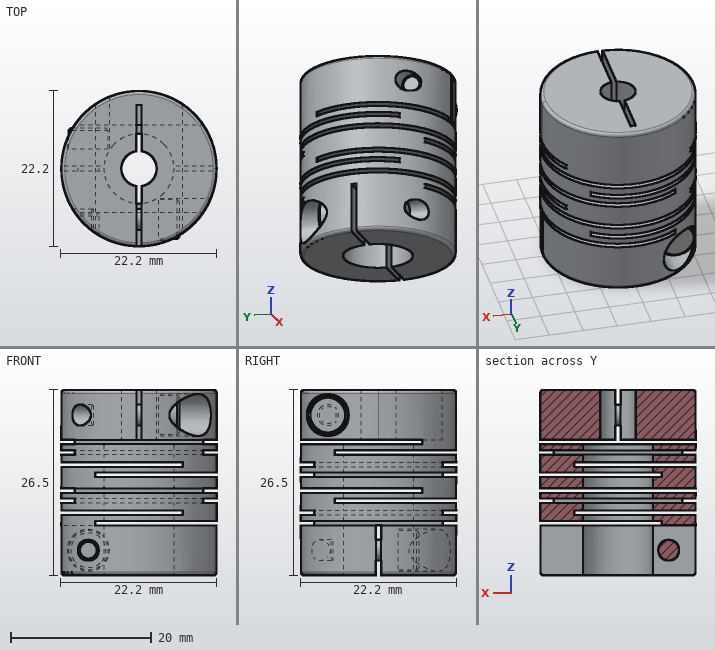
import cadquery as cq

length = 26.5
diameter = 22.2
radius = diameter / 2
edge_round = 0.5

cut_height = 0.6
beam_offset = 6.23
beam_cuts = [
    (5.8, "-Y"),
    (4.3, "+Y"),
    (2.57, "-X"),
    (1.15, "+X"),
    (-1.15, "-Y"),
    (-2.57, "+Y"),
    (-4.3, "-X"),
    (-5.8, "+X"),
]
entry_angle = {"+X": 0, "+Y": 90, "-X": 180, "-Y": 270}

hub_inner_face = beam_cuts[0][0] + cut_height / 2
hub_length = length / 2 - hub_inner_face
upper_bore_diameter = 5.0
lower_bore_diameter = 9.96
slit_width = 0.75
upper_slit_end = 9.1

screw_offset = 7.23
screw_height = 9.65
screw_diameter = 3.0
screw_tip = -6.78
tip_chamfer = 0.3
head_diameter = 5.62
head_height = 3.0
head_top = 5.78
head_chamfer = 0.32
pocket_diameter = 6.0
head_seat = head_top - head_height


def rod(diameter, start, end):
    """Cylinder along X on the axis of the upper clamp screw."""
    plane = cq.Plane(origin=(start, -screw_offset, screw_height), xDir=(0, 1, 0), normal=(1, 0, 0))
    return cq.Workplane(plane).circle(diameter / 2).extrude(end - start)


def turned_to_lower_hub(shape):
    """Half turn about the X = Y diagonal, which carries the upper hub onto the lower one."""
    return shape.rotate((0, 0, 0), (1, 1, 0), 180)


def make_body():
    body = cq.Workplane("XY").circle(radius).extrude(length / 2, both=True)
    return body.faces("<Z or >Z").edges().fillet(edge_round)


def make_bores():
    upper = cq.Workplane("XY").workplane(offset=hub_inner_face)
    upper = upper.circle(upper_bore_diameter / 2).extrude(hub_length)
    lower = cq.Workplane("XY").workplane(offset=-length / 2)
    lower = lower.circle(lower_bore_diameter / 2).extrude(length / 2 + hub_inner_face)
    return upper.union(lower)


def make_beam_cut(height, entry):
    cut = cq.Workplane("XY").box(radius + beam_offset, diameter, cut_height)
    cut = cut.translate(((radius - beam_offset) / 2, 0, height))
    return cut.rotate((0, 0, 0), (0, 0, 1), entry_angle[entry])


def make_upper_slit():
    slit = cq.Workplane("XY").box(slit_width, radius + upper_slit_end, hub_length)
    return slit.translate((0, (upper_slit_end - radius) / 2, hub_inner_face + hub_length / 2))


def make_lower_slit():
    slit = cq.Workplane("XY").box(diameter, slit_width, hub_length)
    return slit.translate((0, 0, -hub_inner_face - hub_length / 2))


def make_screw_hole():
    hole = rod(screw_diameter, -radius, head_seat)
    pocket = rod(pocket_diameter, head_seat, radius)
    return hole.union(pocket)


def make_screw():
    shank = rod(screw_diameter, screw_tip, head_seat).faces("<X").chamfer(tip_chamfer)
    head = rod(head_diameter, head_seat, head_top).faces(">X").chamfer(head_chamfer)
    return shank.union(head)


result = make_body().cut(make_bores())
for cut_middle, entry_side in beam_cuts:
    result = result.cut(make_beam_cut(cut_middle, entry_side))
result = result.cut(make_upper_slit()).cut(make_lower_slit())

screw_hole = make_screw_hole()
result = result.cut(screw_hole).cut(turned_to_lower_hub(screw_hole))

screw = make_screw()
result = result.union(screw).union(turned_to_lower_hub(screw))